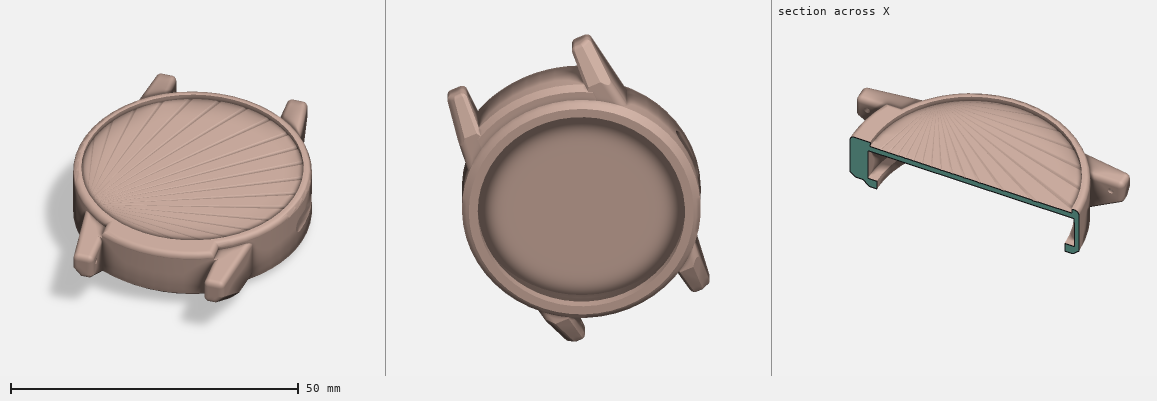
import cadquery as cq
import math

height = 11.0
case_radius = 20.75
base_chamfer = 1.2
rim_fillet = 1.0

chin_overhang = 2.5
chin_radius = case_radius + chin_overhang
chin_half_width = 10.15
chin_bottom = base_chamfer
chin_chamfer = 1.0

lug_top = 9.6
lug_bottom = 1.25
lug_tip_back = 24.4
lug_tip_front = -26.85
lug_inner_x = 10.05
lug_tip_width = 3.55
lug_root_width = 5.1
lug_tip_bottom = 5.25
lug_slope_run = 6.3
lug_start_y = 13.0
lug_fillet = 0.95
lug_side_chamfer = 1.4
lug_bottom_fillet = 1.4
lug_inner_chamfer = 0.6
strap_hole_diameter = 1.1
strap_hole_depth = 1.5
strap_hole_from_tip = 2.3
strap_hole_z = 7.4

dial_radius = 19.3
dial_z = 10.0
fan_x = -15.2
fan_y = -13.6
fan_center_angle = 45.0
fan_lower_pitch = 5.9
fan_upper_pitch = 7.2
fan_lower_count = 10
fan_upper_count = 9
groove_length = 45.0
groove_half_width = 0.55
groove_floor_half_width = 0.1
groove_depth = 0.2

cavity_radius = 19.75
cavity_floor = 2.0
cavity_ceiling = 8.7
opening_radius = 18.0

crown_z = 4.5
crown_diameter = 5.0
key_width = 1.0
key_top = 7.75

port_width = 9.4
port_bottom = 4.3
port_top = 7.4


def make_drum():
    """Revolved body with a chamfered lower edge and a rounded upper edge."""
    arc_offset = rim_fillet * math.sqrt(0.5)
    rim_center_x = case_radius - rim_fillet
    rim_center_z = height - rim_fillet
    return (
        cq.Workplane("XZ")
        .lineTo(case_radius - base_chamfer, 0)
        .lineTo(case_radius, base_chamfer)
        .lineTo(case_radius, rim_center_z)
        .threePointArc((rim_center_x + arc_offset, rim_center_z + arc_offset), (rim_center_x, height))
        .lineTo(0, height)
        .close()
        .revolve()
    )


def make_chin_block(half_width, top):
    """Slab from the case axis to the chin arc, chamfered along the lower edge of the arc."""
    block_height = top - chin_bottom
    disc = (
        cq.Workplane("XY", origin=(0, 0, chin_bottom))
        .circle(chin_radius)
        .extrude(block_height)
        .faces("<Z")
        .chamfer(chin_chamfer)
    )
    slab = (
        cq.Workplane("XY", origin=(0, -chin_radius / 2, chin_bottom))
        .rect(2 * half_width, chin_radius)
        .extrude(block_height)
    )
    return disc.intersect(slab)


def make_chin():
    """Round-edged bulge flush with the rim, and a lower block that fills the gap to the lugs."""
    upper = make_chin_block(chin_half_width, height).faces(">Z").edges("not >Y").fillet(rim_fillet)
    lower = make_chin_block(lug_inner_x + lug_fillet, lug_top)
    return upper.union(lower)


def make_lug(tip_y, side):
    """One lug, modelled at +X with its tip toward +Y, then mirrored into place."""
    tip = abs(tip_y)
    tip_outer_x = lug_inner_x + lug_tip_width
    root_outer_x = lug_inner_x + lug_root_width
    root_y = math.sqrt(case_radius**2 - root_outer_x**2)
    taper = (root_outer_x - tip_outer_x) / (tip - root_y)
    start_outer_x = tip_outer_x + taper * (tip - lug_start_y)
    plan = [
        (lug_inner_x, lug_start_y),
        (start_outer_x, lug_start_y),
        (tip_outer_x, tip),
        (lug_inner_x, tip),
    ]
    mid_y = (lug_start_y + tip) / 2
    mid_outer_x = (start_outer_x + tip_outer_x) / 2
    bottom_outer_edge = cq.NearestToPointSelector((mid_outer_x, mid_y, lug_bottom))
    round_bottomed = (
        cq.Workplane("XY", origin=(0, 0, lug_bottom))
        .polyline(plan)
        .close()
        .extrude(height)
        .edges(bottom_outer_edge)
        .fillet(lug_bottom_fillet)
    )

    slope = (lug_tip_bottom - lug_bottom) / lug_slope_run
    side_profile = [
        (lug_start_y, lug_tip_bottom - slope * (tip - lug_start_y)),
        (tip, lug_tip_bottom),
        (tip, lug_top),
        (lug_start_y, lug_top),
    ]
    lug = cq.Workplane("YZ").polyline(side_profile).close().extrude(start_outer_x)
    tall_plan = cq.Workplane("XY").polyline(plan).close().extrude(2 * height, both=True)
    lug = lug.intersect(tall_plan)
    mid_z = lug_tip_bottom - slope * (tip - mid_y)
    lug = lug.edges(cq.NearestToPointSelector((mid_outer_x, mid_y, mid_z))).chamfer(lug_side_chamfer)
    lug = lug.edges(cq.NearestToPointSelector((lug_inner_x, mid_y, mid_z))).chamfer(lug_inner_chamfer)
    lug = lug.faces(">Y or >Z").edges("not <Y").fillet(lug_fillet)
    lug = lug.intersect(round_bottomed)
    strap_hole = (
        cq.Workplane("YZ", origin=(lug_inner_x, 0, 0))
        .center(tip - strap_hole_from_tip, strap_hole_z)
        .circle(strap_hole_diameter / 2)
        .extrude(strap_hole_depth)
    )
    lug = lug.cut(strap_hole)
    if tip_y < 0:
        lug = lug.mirror("XZ")
    if side < 0:
        lug = lug.mirror("YZ")
    return lug


def make_groove(angle):
    """Flat-bottomed groove as a pyramid, pointed at the fan centre and widest at its far end."""
    direction = cq.Vector(math.cos(math.radians(angle)), math.sin(math.radians(angle)), 0)
    across = cq.Vector(-direction.y, direction.x, 0)
    down = cq.Vector(0, 0, -groove_depth)
    point = cq.Vector(fan_x, fan_y, dial_z)
    far = point + direction * groove_length
    section = [
        far + across * groove_half_width,
        far - across * groove_half_width,
        far - across * groove_floor_half_width + down,
        far + across * groove_floor_half_width + down,
    ]
    outlines = [section]
    for index, corner in enumerate(section):
        outlines.append([point, corner, section[index - 1]])
    faces = [cq.Face.makeFromWires(cq.Wire.makePolygon(corners, close=True)) for corners in outlines]
    return cq.Workplane(obj=cq.Solid.makeSolid(cq.Shell.makeShell(faces)))


def make_dial_recess():
    """Shallow round recess in the top."""
    return cq.Workplane("XY", origin=(0, 0, dial_z)).circle(dial_radius).extrude(height - dial_z)


def make_groove_fan():
    """All the dial grooves, trimmed to the recess."""
    inside_rim = cq.Workplane("XY").circle(dial_radius).extrude(height)
    fan = cq.Workplane("XY")
    for index in range(-fan_lower_count, fan_upper_count + 1):
        pitch = fan_upper_pitch if index > 0 else fan_lower_pitch
        fan = fan.add(make_groove(fan_center_angle + index * pitch).intersect(inside_rim))
    return fan.combine()


def make_cavity():
    """Stepped bore entered from below."""
    opening = cq.Workplane("XY").circle(opening_radius).extrude(cavity_ceiling)
    chamber = (
        cq.Workplane("XY", origin=(0, 0, cavity_floor))
        .circle(cavity_radius)
        .extrude(cavity_ceiling - cavity_floor)
    )
    return opening.union(chamber)


def make_crown_hole():
    """Round hole with a narrow key slot above it, through the -X wall."""
    hole = cq.Workplane("YZ").center(0, crown_z).circle(crown_diameter / 2).extrude(-case_radius)
    key_height = key_top - crown_z
    key = (
        cq.Workplane("YZ")
        .center(0, crown_z + key_height / 2)
        .rect(key_width, key_height)
        .extrude(-case_radius)
    )
    return hole.union(key)


def make_port():
    """Round-ended slot through the +X wall."""
    return (
        cq.Workplane("YZ")
        .center(0, (port_bottom + port_top) / 2)
        .slot2D(port_width, port_top - port_bottom)
        .extrude(case_radius)
    )


result = make_drum().union(make_chin())
for lug_tip in (lug_tip_back, lug_tip_front):
    for lug_side in (-1, 1):
        result = result.union(make_lug(lug_tip, lug_side))
result = result.cut(make_dial_recess())
result = result.cut(make_groove_fan())
result = result.cut(make_cavity())
result = result.cut(make_crown_hole())
result = result.cut(make_port())